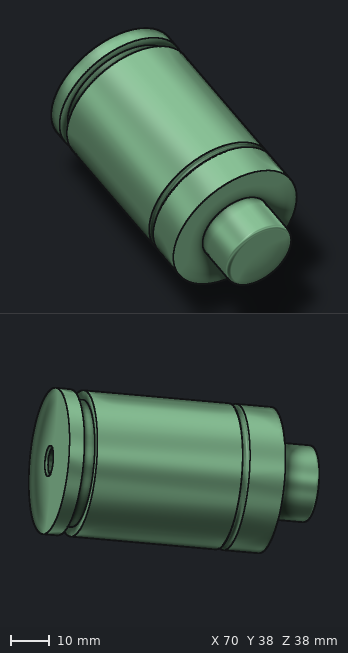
import cadquery as cq
import math


TOTAL_LENGTH = 70.0

HOUSING_DIAMETER = 38.0
HOUSING_LENGTH = 58.0

CLAMP_GROOVE_START = 4.0
CLAMP_GROOVE_WIDTH = 3.5
CLAMP_GROOVE_DIAMETER = 33.05

ROUND_GROOVE_CENTER = 47.5
ROUND_GROOVE_RADIUS = 1.0

HOLE_DIAMETER = 6.65
HOLE_MOUTH_DIAMETER = 8.0
HOLE_DEPTH = 10.5
DRILL_POINT_ANGLE = 118.0

ROD_DIAMETER = 20.0
ROD_EDGE_RADIUS = 1.0
ROD_LENGTH = TOTAL_LENGTH - HOUSING_LENGTH


def cylinder_along_x(start, length, diameter):
    """Solid cylinder on the X axis, beginning at x = start."""
    return cq.Workplane("YZ", origin=(start, 0, 0)).circle(diameter / 2).extrude(length)


def revolve_about_x(profile):
    """Full revolution of a closed XY profile about the X axis."""
    return profile.revolve(360, (0, 0, 0), (1, 0, 0))


def make_clamp_groove():
    """Ring of material removed for the rectangular groove."""
    outer = cylinder_along_x(CLAMP_GROOVE_START, CLAMP_GROOVE_WIDTH, HOUSING_DIAMETER)
    core = cylinder_along_x(CLAMP_GROOVE_START, CLAMP_GROOVE_WIDTH, CLAMP_GROOVE_DIAMETER)
    return outer.cut(core)


def make_round_groove():
    """Torus centred on the housing surface, leaving a half-round groove."""
    section = (
        cq.Workplane("XY")
        .moveTo(ROUND_GROOVE_CENTER, HOUSING_DIAMETER / 2)
        .circle(ROUND_GROOVE_RADIUS)
    )
    return revolve_about_x(section)


def make_mounting_hole():
    """Drilled volume: equal-leg mouth chamfer, straight bore and conical point."""
    bore_radius = HOLE_DIAMETER / 2
    mouth_radius = HOLE_MOUTH_DIAMETER / 2
    chamfer_depth = mouth_radius - bore_radius
    point_length = bore_radius / math.tan(math.radians(DRILL_POINT_ANGLE / 2))
    profile = (
        cq.Workplane("XY")
        .lineTo(0, mouth_radius)
        .lineTo(chamfer_depth, bore_radius)
        .lineTo(HOLE_DEPTH, bore_radius)
        .lineTo(HOLE_DEPTH + point_length, 0)
        .close()
    )
    return revolve_about_x(profile)


def make_housing():
    """Cylinder body with both grooves and the mounting hole."""
    body = cylinder_along_x(0, HOUSING_LENGTH, HOUSING_DIAMETER)
    return body.cut(make_clamp_groove()).cut(make_round_groove()).cut(make_mounting_hole())


def make_piston_rod():
    """Rod resting on the housing's +X face, with its free edge rounded."""
    rod = cylinder_along_x(HOUSING_LENGTH, ROD_LENGTH, ROD_DIAMETER)
    return rod.faces(">X").edges().fillet(ROD_EDGE_RADIUS)


housing = make_housing()
piston_rod = make_piston_rod()

result = cq.Compound.makeCompound([housing.val(), piston_rod.val()])